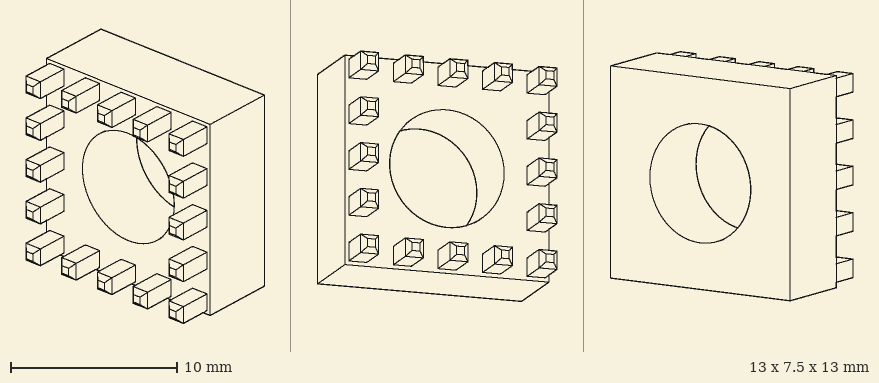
import cadquery as cq

block_side = 13.0
block_depth = 5.0
bore_diameter = 7.29

pin_length = 2.5
pin_width = 1.15
tip_width = 0.51
tip_length = 0.32

pins_per_side = 5
pin_edge_gap = 0.25
pin_pitch = (block_side - 2 * pin_edge_gap - pin_width) / (pins_per_side - 1)


def make_block():
    """Square block with a round bore through it; front face on y = 0."""
    return (
        cq.Workplane("XZ")
        .rect(block_side, block_side)
        .circle(bore_diameter / 2)
        .extrude(-block_depth)
    )


def make_pin():
    """One pin on the Y axis, with a straight shank and a pyramidal tip."""
    shank_length = pin_length - tip_length
    shank = cq.Workplane("XZ").rect(pin_width, pin_width).extrude(shank_length)
    tip = (
        cq.Workplane("XZ", origin=(0, -shank_length, 0))
        .rect(pin_width, pin_width)
        .workplane(offset=tip_length)
        .rect(tip_width, tip_width)
        .loft(ruled=True)
    )
    return shank.union(tip)


def border_positions():
    """Pin centres (x, z) along the four sides of the grid."""
    last = pins_per_side - 1
    middle = last / 2
    return [
        ((column - middle) * pin_pitch, (row - middle) * pin_pitch)
        for column in range(pins_per_side)
        for row in range(pins_per_side)
        if column in (0, last) or row in (0, last)
    ]


result = make_block()
pin = make_pin()
for x, z in border_positions():
    result = result.union(pin.translate((x, 0, z)))